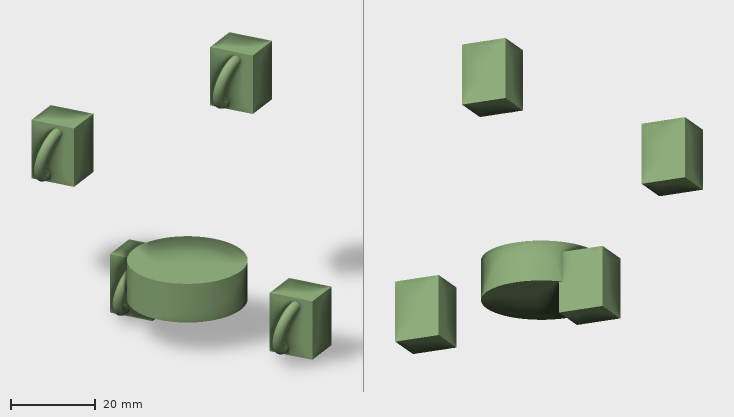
import cadquery as cq

block_width = 11.3
block_depth = 10.0
block_height = 15.05

tube_diameter = 2.45
handle_radius = 5.8
handle_tilt = 14.5
handle_shift_x = -0.25
handle_shift_z = -0.2

disc_diameter = 28.6
disc_height = 10.0
disc_center_x = 48.4
disc_center_y = disc_diameter / 2
disc_bottom_z = 7.6

total_width = 84.5
total_depth = 51.9
total_height = 60.25

disc_block_corner = (27.8, 14.4, 0)
loose_block_corners = [
    (0, 27.9, 23.9),
    (40.3, total_depth - block_depth, total_height - block_height),
    (total_width - block_width, 8.7, 1.1),
]


def make_handle():
    """Half ring in front of the XZ plane, centred on the origin and tilted about Y."""
    path = (
        cq.Workplane("YZ")
        .moveTo(0, handle_radius)
        .threePointArc((-handle_radius, 0), (0, -handle_radius))
    )
    profile = cq.Workplane("XZ", origin=(0, 0, handle_radius)).circle(tube_diameter / 2)
    return profile.sweep(path).rotate((0, 0, 0), (0, 1, 0), handle_tilt)


def make_handled_block(corner):
    """Block with its handle, fused into one solid."""
    block = cq.Workplane("XY").box(block_width, block_depth, block_height, centered=False)
    handle = make_handle().translate(
        (block_width / 2 + handle_shift_x, 0, block_height / 2 + handle_shift_z)
    )
    return block.union(handle).translate(corner)


def make_disc():
    """Plain round disc."""
    disc_center = (disc_center_x, disc_center_y, disc_bottom_z)
    return cq.Workplane("XY", origin=disc_center).circle(disc_diameter / 2).extrude(disc_height)


disc_with_block = make_handled_block(disc_block_corner).union(make_disc())
loose_blocks = [make_handled_block(corner) for corner in loose_block_corners]

result = cq.Compound.makeCompound(
    [disc_with_block.val(), *[block.val() for block in loose_blocks]]
)